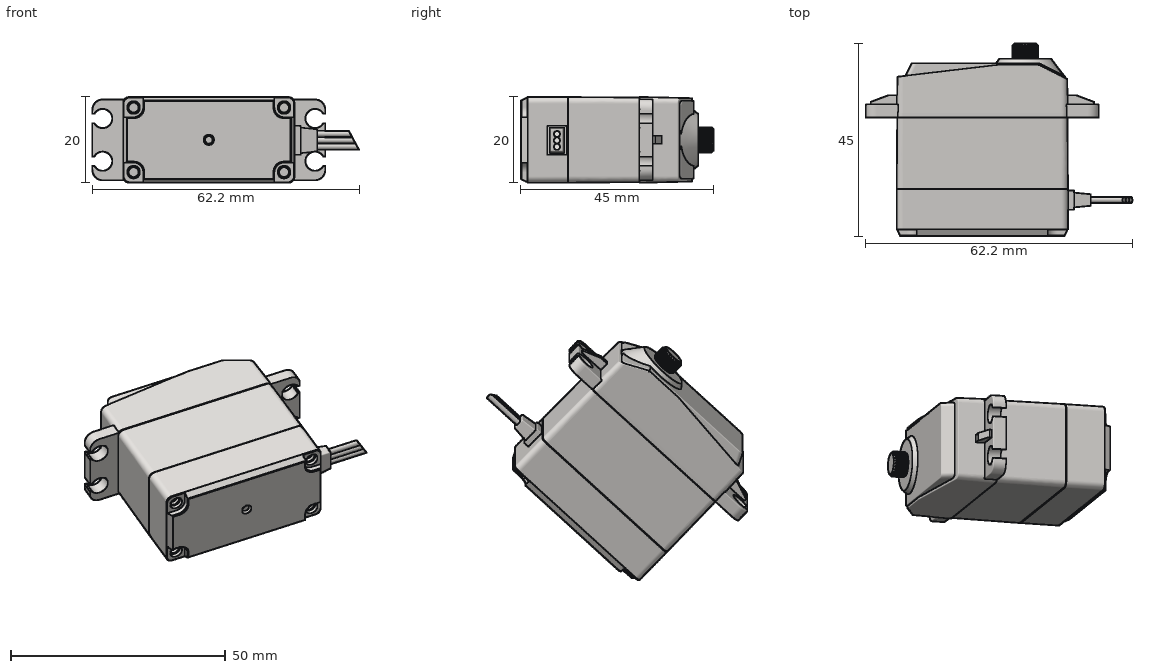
import cadquery as cq
import math


case_length = 40.0
case_width = 20.0
case_corner_radius = 1.5
middle_case_draft = 0.1
joint_chamfer = 0.1
cover_split_y = 11.1
top_split_y = 27.7

taper_height = 1.7
taper_ledge = 0.05
taper_run = 0.8
face_edge_chamfer = 0.1
recess_floor_y = 1.5
recess_radius = 2.25
recess_rim_chamfer = 0.25
screw_offset_x = 17.55
screw_offset_z = 7.5
screw_bore_diameter = 3.0
screw_bore_depth = 1.0
screw_hole_diameter = 2.3
screw_hole_depth = 2.0
vent_diameter = 2.4
vent_floor_diameter = 1.75
vent_depth = 0.6

rim_height = 1.1
top_case_draft = 0.3
roof_edge_radius = 0.2
left_shoulder_y = 37.2
roof_y = 40.0
roof_start_x = 3.8
roof_end_x = 13.2
right_shoulder_y = 36.6
deck_rise = 0.4
deck_width = 18.15
deck_corner_radius = 1.1
deck_edge_radius = 0.25
deck_left_x = -18.05
deck_left_top_x = -16.5
deck_right_x = 19.1
deck_base_y = 35.45

shaft_x = 10.0
boss_top_y = 41.4
boss_top_radius = 6.05
boss_slope = 0.77
boss_base_y = 37.1

flange_length = 54.35
flange_width = 18.9
flange_thickness = 3.1
flange_edge_radius = 0.25
flange_corner_radius = 2.5
slot_offset_x = 24.75
slot_offset_z = 5.0
slot_diameter = 4.4
slot_mouth = 2.2
gusset_width = 1.8
gusset_height = 2.1
gusset_tip_height = 0.55
gusset_tip_inset = 1.1
gusset_flat_end_x = 21.9

tooth_count = 25
tooth_crest_share = 0.4
shaft_diameter = 6.0
shaft_root_diameter = 5.4
shaft_end_diameter = 5.0
shaft_top_y = 45.0
neck_height = 0.4
shaft_chamfer_height = 0.55

cable_y = 8.45
collar_length = 1.4
cable_z = -0.1
collar_height = 6.7
collar_thickness = 4.55
boot_end_x = 25.3
boot_start_height = 6.0
boot_start_thickness = 3.5
boot_end_height = 5.1
boot_end_thickness = 2.75
boot_edge_radius = 0.25
collar_edge_radius = 0.2
wire_count = 3
wire_diameter = 1.4
wire_pitch = 1.5
overall_length = 62.2
cable_end_x = overall_length - flange_length / 2
cable_cut_run = 2.35


def section(inset, y):
    """Rounded case outline, inset all round, at height y."""
    sketch = (
        cq.Sketch()
        .rect(case_width - 2 * inset, case_length - 2 * inset)
        .vertices()
        .fillet(case_corner_radius - inset)
    )
    return sketch.moved(cq.Location(cq.Vector(0, 0, y)))


def tapered_block(start_y, end_y, start_inset, end_inset):
    sections = section(start_inset, start_y), section(end_inset, end_y)
    return cq.Workplane("ZX").placeSketch(*sections).loft()


def at_height(y):
    """Workplane facing +Y, with local x along Z and local y along X."""
    return cq.Workplane("ZX", origin=(0, y, 0))


def recess_outline(workplane, radius, end, side):
    """Outline round one screw, rounded at its inner corner and running out past the case end and side."""
    screw_z = side * screw_offset_z
    screw_x = end * screw_offset_x
    outer_z = side * case_width
    outer_x = end * case_length
    diagonal = radius * math.sqrt(0.5)
    return (
        workplane.moveTo(screw_z - side * radius, outer_x)
        .lineTo(screw_z - side * radius, screw_x)
        .threePointArc(
            (screw_z - side * diagonal, screw_x - end * diagonal),
            (screw_z, screw_x - end * radius),
        )
        .lineTo(outer_z, screw_x - end * radius)
        .lineTo(outer_z, outer_x)
        .close()
    )


def corner_recess(end, side):
    """Cut for one screw corner: an upright wall with a chamfered rim."""
    pocket = recess_outline(at_height(0), recess_radius, end, side).extrude(recess_floor_y)
    rim = recess_outline(at_height(0), recess_radius + recess_rim_chamfer, end, side)
    rim = rim.workplane(offset=recess_rim_chamfer)
    return pocket.union(recess_outline(rim, recess_radius, end, side).loft(ruled=True))


def make_bottom_cover():
    cover = tapered_block(taper_height, cover_split_y, 0, 0).faces(">Y").chamfer(joint_chamfer)
    face = tapered_block(0, taper_height, taper_ledge + taper_run, taper_ledge)
    cover = cover.union(face.faces("<Y").chamfer(face_edge_chamfer))
    for end in (-1, 1):
        for side in (-1, 1):
            cover = cover.cut(corner_recess(end, side))
    screws = at_height(recess_floor_y).rect(2 * screw_offset_z, 2 * screw_offset_x, forConstruction=True)
    cover = cover.cut(screws.vertices().circle(screw_bore_diameter / 2).extrude(screw_bore_depth))
    cover = cover.cut(screws.vertices().circle(screw_hole_diameter / 2).extrude(screw_hole_depth))
    vent = (
        at_height(0)
        .circle(vent_diameter / 2)
        .workplane(offset=vent_depth)
        .circle(vent_floor_diameter / 2)
        .loft()
    )
    return cover.cut(vent)


def make_middle_case():
    return tapered_block(cover_split_y, top_split_y, 0, middle_case_draft)


def make_deck():
    slope = (right_shoulder_y - roof_y) / (case_length / 2 - roof_end_x)
    top_y = roof_y + deck_rise
    right_y = top_y + slope * (deck_right_x - roof_end_x)
    left_run = (deck_left_top_x - deck_left_x) * (top_y - deck_base_y) / (top_y - left_shoulder_y)
    deck = (
        cq.Workplane("XY")
        .moveTo(deck_left_top_x - left_run, deck_base_y)
        .lineTo(deck_left_top_x, top_y)
        .lineTo(roof_end_x, top_y)
        .lineTo(deck_right_x, right_y)
        .lineTo(deck_right_x, deck_base_y)
        .close()
        .extrude(deck_width / 2, both=True)
    )
    corners = deck.faces("<X").edges("not |Z").add(deck.faces(">X").edges("|Y"))
    deck = deck.newObject(corners.vals()).fillet(deck_corner_radius)
    middle_of_slope = ((roof_end_x + deck_right_x) / 2, (top_y + right_y) / 2, 0)
    slope_face = deck.faces(cq.selectors.NearestToPointSelector(middle_of_slope))
    upper_edges = deck.faces(">Y").add(slope_face).edges("not |Z")
    upper_edges = upper_edges.add(deck.faces(">Y").edges("<X"))
    return deck.newObject(upper_edges.vals()).fillet(deck_edge_radius)


def make_boss():
    base_radius = boss_top_radius + boss_slope * (boss_top_y - boss_base_y)
    return cq.Workplane(
        cq.Solid.makeCone(
            base_radius,
            boss_top_radius,
            boss_top_y - boss_base_y,
            cq.Vector(shaft_x, boss_base_y, 0),
            cq.Vector(0, 1, 0),
        )
    )


def make_flanges():
    tip_x = flange_length / 2
    half_profile = [
        (0, top_split_y),
        (tip_x, top_split_y),
        (tip_x, top_split_y + flange_thickness),
        (0, top_split_y + flange_thickness),
    ]
    half = cq.Workplane("XY").polyline(half_profile).close().extrude(flange_width / 2, both=True)
    half = half.faces(">X").edges("|Y").fillet(flange_corner_radius)
    half = half.faces(">Y").edges("not <X").fillet(flange_edge_radius)
    for side in (-1, 1):
        z = side * slot_offset_z
        hole = at_height(top_split_y).center(z, slot_offset_x).circle(slot_diameter / 2)
        mouth = at_height(top_split_y).center(z, slot_offset_x + slot_diameter / 2).rect(slot_mouth, slot_diameter)
        half = half.cut(hole.extrude(flange_thickness)).cut(mouth.extrude(flange_thickness))
    flange_top_y = top_split_y + flange_thickness
    gusset_tip_x = tip_x - gusset_tip_inset
    gusset_profile = [
        (0, top_split_y),
        (gusset_tip_x, top_split_y),
        (gusset_tip_x, flange_top_y + gusset_tip_height),
        (gusset_flat_end_x, flange_top_y + gusset_height),
        (0, flange_top_y + gusset_height),
    ]
    gusset = cq.Workplane("XY").polyline(gusset_profile).close().extrude(gusset_width / 2, both=True)
    half = half.union(gusset)
    return half.union(half.mirror("YZ"))


def make_top_case():
    rim_top_y = top_split_y + rim_height
    shell = tapered_block(rim_top_y, boss_top_y, 0, top_case_draft)
    half_length = case_length / 2
    roof = (
        cq.Workplane("XY")
        .moveTo(-half_length, rim_top_y)
        .lineTo(-half_length, left_shoulder_y)
        .lineTo(roof_start_x, roof_y)
        .lineTo(roof_end_x, roof_y)
        .lineTo(half_length, right_shoulder_y)
        .lineTo(half_length, rim_top_y)
        .close()
        .extrude(case_width / 2, both=True)
    )
    shell = shell.intersect(roof)
    shell = shell.faces("#Z and (not <Y) and (not <X) and (not >X)").edges("not |Z").fillet(roof_edge_radius)
    rim = tapered_block(top_split_y, rim_top_y, 0, 0).faces("<Y").chamfer(joint_chamfer)
    return shell.union(rim).union(make_deck()).union(make_boss()).union(make_flanges())


def make_output_shaft():
    root_radius = shaft_root_diameter / 2
    tip_radius = shaft_diameter / 2
    crest_start = (1 - tooth_crest_share) / 2
    tooth_profile = (
        (root_radius, 0),
        (tip_radius, crest_start),
        (tip_radius, crest_start + tooth_crest_share),
    )
    points = []
    for tooth in range(tooth_count):
        for radius, step in tooth_profile:
            angle = 2 * math.pi * (tooth + step) / tooth_count
            points.append((radius * math.cos(angle), radius * math.sin(angle)))
    teeth_y = boss_top_y + neck_height
    teeth = at_height(teeth_y).center(0, shaft_x).polyline(points).close().extrude(shaft_top_y - teeth_y)
    end_radius = shaft_end_diameter / 2
    envelope = (
        cq.Workplane("XY")
        .moveTo(0, teeth_y)
        .lineTo(tip_radius, teeth_y)
        .lineTo(tip_radius, shaft_top_y - shaft_chamfer_height)
        .lineTo(end_radius, shaft_top_y)
        .lineTo(0, shaft_top_y)
        .close()
        .revolve(360, (0, 0, 0), (0, 1, 0))
        .translate((shaft_x, 0, 0))
    )
    neck = at_height(boss_top_y).center(0, shaft_x).circle(root_radius).extrude(neck_height)
    return teeth.intersect(envelope).union(neck)


def make_cable():
    collar_end_x = case_length / 2 + collar_length
    boot_length = boot_end_x - collar_end_x
    start = cq.Workplane("YZ", origin=(case_length / 2, cable_y, cable_z))
    collar = start.rect(collar_thickness, collar_height).extrude(collar_length)
    collar = collar.edges("not <X").fillet(collar_edge_radius)
    boot = (
        start.workplane(offset=collar_length)
        .rect(boot_start_thickness, boot_start_height)
        .workplane(offset=boot_length)
        .rect(boot_end_thickness, boot_end_height)
        .loft()
        .edges("not <X")
        .fillet(boot_edge_radius)
    )
    cable = collar.union(boot)
    wire_centres = [(0, (i - (wire_count - 1) / 2) * wire_pitch) for i in range(wire_count)]
    wires = (
        start.workplane(offset=boot_end_x - case_length / 2)
        .pushPoints(wire_centres)
        .circle(wire_diameter / 2)
        .extrude(cable_end_x - boot_end_x)
    )
    half_span = ((wire_count - 1) * wire_pitch + wire_diameter) / 2
    slanted_end = (
        cq.Workplane("XZ", origin=(0, cable_y + wire_diameter, cable_z))
        .moveTo(cable_end_x, -half_span)
        .lineTo(cable_end_x - cable_cut_run, half_span)
        .lineTo(cable_end_x, half_span)
        .close()
        .extrude(2 * wire_diameter)
    )
    return cable.union(wires.cut(slanted_end))


bottom_cover = make_bottom_cover()
middle_case = make_middle_case()
top_case = make_top_case()
output_shaft = make_output_shaft()
cable = make_cable()

result = cq.Compound.makeCompound(
    [bottom_cover.val(), middle_case.val(), top_case.val(), output_shaft.val(), cable.val()]
)